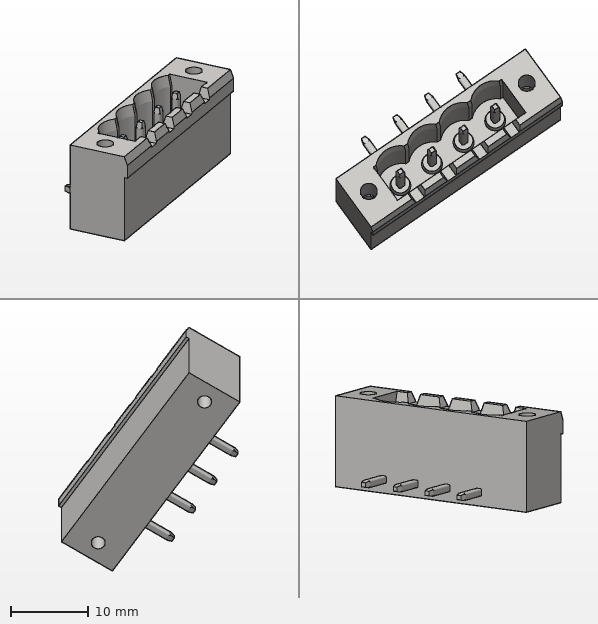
import cadquery as cq
import math


total_depth = 12.8
length = 30.0
height = 12.0

lip_reach = 0.45
lip_height = 2.97
lip_chamfer_height = 1.15

pin_count = 4
pin_pitch = length / 6
pin_row_x = 3.85
pin_width = 1.0
pin_corner_radius = 0.25
pin_tip_width = 0.6
pin_tip_length = 0.85
pin_reach = 4.47
pin_leg_z = 1.83
pin_top_z = 11.0

hole_spacing = 5 * pin_pitch
hole_dia = 1.8
hole_upper_dia = 2.15
hole_step_z = height / 2

pocket_length = 20.28
pocket_back_x = 1.53
pocket_front_x = 6.95
pocket_draft = 0.33
pocket_draft_depth = 1.6
pocket_floor_z = 3.6
scallop_radius = 3.2

collar_base_dia = 2.7
collar_top_dia = 2.4
collar_height = 0.9

notch_top_width = 2.07
notch_floor_width = 1.3
notch_depth = 1.38

housing_depth = total_depth - pin_reach - lip_reach
front_x = housing_depth + lip_reach
draft_foot_z = height - pocket_draft_depth
pin_ys = [(i - (pin_count - 1) / 2) * pin_pitch for i in range(pin_count)]


def make_housing():
    """Block with the chamfered latch lip, as one side profile drawn along Y."""
    lip_bottom_z = height - lip_height
    profile = [
        (0, 0),
        (housing_depth, 0),
        (housing_depth, lip_bottom_z),
        (front_x, lip_bottom_z),
        (front_x, height - lip_chamfer_height),
        (housing_depth, height),
        (0, height),
    ]
    return cq.Workplane("XZ").polyline(profile).close().extrude(length / 2, both=True)


def pocket_outline(workplane, inset):
    """Pocket outline whose long walls are moved inward by inset, with a scallop at each pin."""
    back_x = pocket_back_x + inset
    front_wall_x = pocket_front_x - inset
    scallop_x = pin_row_x - scallop_radius + inset
    scallop_half = math.sqrt(scallop_radius**2 - (pin_row_x - pocket_back_x) ** 2)
    half_length = pocket_length / 2

    outline = workplane.moveTo(front_wall_x, half_length).lineTo(front_wall_x, -half_length)
    outline = outline.lineTo(back_x, -half_length)
    for y in pin_ys:
        outline = outline.lineTo(back_x, y - scallop_half)
        outline = outline.threePointArc((scallop_x, y), (back_x, y + scallop_half))
    return outline.lineTo(back_x, half_length).close()


def make_pocket():
    """Straight lower part of the pocket and its drafted mouth."""
    foot_plane = cq.Workplane("XY").workplane(offset=draft_foot_z)
    lower = pocket_outline(foot_plane, pocket_draft).extrude(pocket_floor_z - draft_foot_z)
    foot = pocket_outline(foot_plane, pocket_draft)
    mouth = pocket_outline(foot.workplane(offset=pocket_draft_depth), 0).loft(ruled=True)
    return lower.union(mouth)


def make_notch(y):
    """Trapezoidal notch through the front wall, opening from the pocket."""
    floor_z = height - notch_depth
    profile = [
        (y - notch_top_width / 2, height),
        (y - notch_floor_width / 2, floor_z),
        (y + notch_floor_width / 2, floor_z),
        (y + notch_top_width / 2, height),
    ]
    start_x = pocket_front_x - pocket_draft
    return cq.Workplane("YZ", origin=(start_x, 0, 0)).polyline(profile).close().extrude(front_x - start_x)


def make_screw_hole(y):
    """Stepped through hole in one flange."""
    hole = cq.Workplane("XY").center(pin_row_x, y).circle(hole_dia / 2).extrude(height)
    upper = (
        cq.Workplane("XY", origin=(pin_row_x, y, hole_step_z))
        .circle(hole_upper_dia / 2)
        .extrude(height - hole_step_z)
    )
    return hole.union(upper)


def make_pin_leg(pin_length):
    """Square pin along +Z from the origin, with rounded corners and a pyramidal tip."""
    bar = cq.Workplane("XY").rect(pin_width, pin_width).extrude(pin_length)
    bar = bar.edges("|Z").fillet(pin_corner_radius)
    shank_length = pin_length - pin_tip_length
    shank = cq.Workplane("XY").rect(pin_width, pin_width).extrude(shank_length)
    tip = (
        cq.Workplane("XY", origin=(0, 0, shank_length))
        .rect(pin_width, pin_width)
        .workplane(offset=pin_tip_length)
        .rect(pin_tip_width, pin_tip_width)
        .loft(ruled=True)
    )
    return bar.intersect(shank.union(tip))


def make_pin(y):
    """Angled pin: a contact leg up into the pocket and a solder leg out of the back face."""
    contact = make_pin_leg(pin_top_z - pin_leg_z).translate((pin_row_x, y, pin_leg_z))
    solder = (
        make_pin_leg(pin_row_x + pin_reach)
        .rotate((0, 0, 0), (0, 1, 0), -90)
        .translate((pin_row_x, y, pin_leg_z))
    )
    return contact.union(solder)


def make_collar(y):
    """Tapered collar standing on the pocket floor."""
    return (
        cq.Workplane("XY", origin=(pin_row_x, y, pocket_floor_z))
        .circle(collar_base_dia / 2)
        .workplane(offset=collar_height)
        .circle(collar_top_dia / 2)
        .loft(ruled=True)
    )


result = make_housing().cut(make_pocket())

for hole_y in (-hole_spacing / 2, hole_spacing / 2):
    result = result.cut(make_screw_hole(hole_y))

for pin_y in pin_ys:
    result = result.cut(make_notch(pin_y))
    result = result.union(make_collar(pin_y))
    result = result.union(make_pin(pin_y))